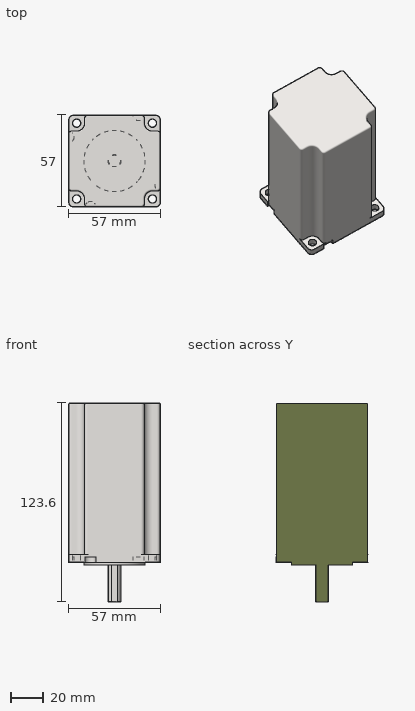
import cadquery as cq

total_height = 123.6
side = 57.0
half_side = side / 2

shaft_diameter = 8.0
shaft_length = 23.0
shaft_flat_depth = 0.5
shaft_chamfer = 0.4

boss_diameter = 38.1
boss_height = 1.6
flange_thickness = 5.0
flange_corner_radius = 3.0
mount_hole_diameter = 5.0
mount_hole_inset = 5.0

recess_radius = 5.0
recess_depth = mount_hole_inset + recess_radius
recess_lip_radius = 2.0
top_fillet = 1.0

notch_diameter = 6.8
notch_height = 3.3
notch_offset = 15.0

flange_bottom = shaft_length + boss_height
flange_top = flange_bottom + flange_thickness
housing_height = total_height - flange_top


def corner_recess():
    """Square cutter with one rounded edge, in the +X +Y corner."""
    center = half_side - recess_depth / 2
    return (
        cq.Workplane("XY", origin=(0, 0, flange_top))
        .center(center, center)
        .rect(recess_depth, recess_depth)
        .extrude(housing_height)
        .edges("|Z and <X and <Y")
        .fillet(recess_radius)
    )


def make_housing():
    housing = cq.Workplane("XY", origin=(0, 0, flange_top)).rect(side, side).extrude(housing_height)
    recess = corner_recess()
    for turn in range(4):
        housing = housing.cut(recess.rotate((0, 0, 0), (0, 0, 1), 90 * turn))

    lip = half_side - recess_depth
    lip_points = []
    for sign_x in (-1, 1):
        for sign_y in (-1, 1):
            lip_points.append((sign_x * half_side, sign_y * lip))
            lip_points.append((sign_x * lip, sign_y * half_side))
    lip_height = flange_top + housing_height / 2
    for x, y in lip_points:
        lip_edge = cq.selectors.NearestToPointSelector((x, y, lip_height))
        housing = housing.edges(lip_edge).fillet(recess_lip_radius)
    return housing.faces(">Z").edges().fillet(top_fillet)


def make_flange():
    hole_pitch = side - 2 * mount_hole_inset
    flange = (
        cq.Workplane("XY", origin=(0, 0, flange_bottom))
        .rect(side, side)
        .extrude(flange_thickness)
        .edges("|Z")
        .fillet(flange_corner_radius)
        .faces(">Z")
        .workplane()
        .rect(hole_pitch, hole_pitch, forConstruction=True)
        .vertices()
        .hole(mount_hole_diameter)
    )
    notch = (
        cq.Workplane("XY", origin=(-notch_offset, -half_side, flange_bottom))
        .circle(notch_diameter / 2)
        .extrude(notch_height)
    )
    for turn in range(4):
        flange = flange.cut(notch.rotate((0, 0, 0), (0, 0, 1), 90 * turn))
    return flange


def make_boss():
    return cq.Workplane("XY", origin=(0, 0, shaft_length)).circle(boss_diameter / 2).extrude(boss_height)


def make_shaft():
    shaft = (
        cq.Workplane("XY")
        .circle(shaft_diameter / 2)
        .extrude(shaft_length)
        .faces("<Z")
        .chamfer(shaft_chamfer)
    )
    flat_cutter = (
        cq.Workplane("XY")
        .center(0, -shaft_diameter + shaft_flat_depth)
        .rect(shaft_diameter, shaft_diameter)
        .extrude(shaft_length)
    )
    return shaft.cut(flat_cutter)


result = make_flange().union(make_housing()).union(make_boss()).union(make_shaft())